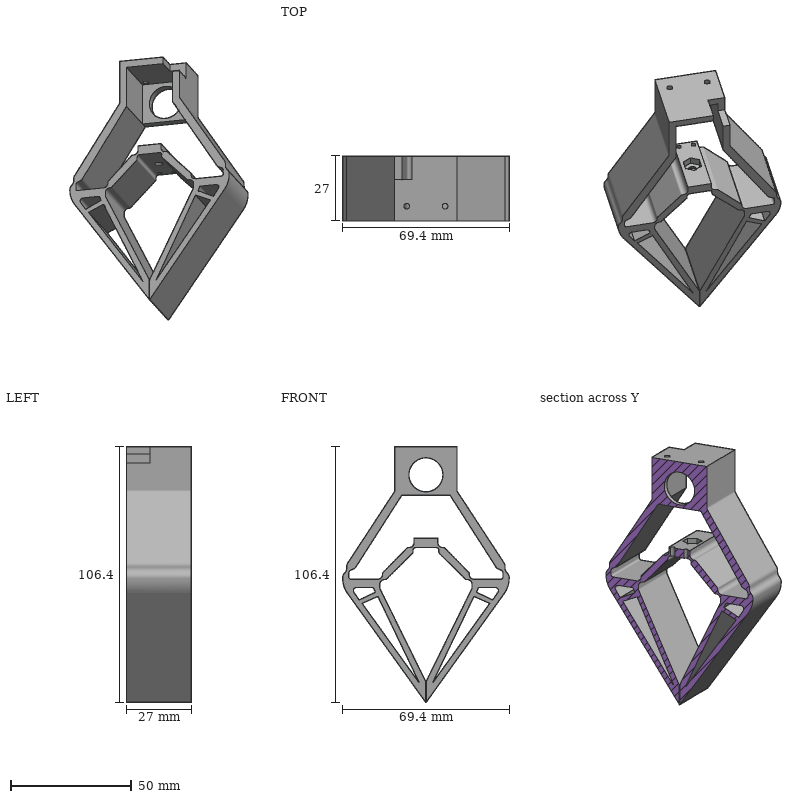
import cadquery as cq
import math

DEPTH = 27.0
HEIGHT = 106.4
HALF_WIDTH = 34.7

BLOCK_HALF_WIDTH = 13.0
BLOCK_SHOULDER_Z = 87.9
BLOCK_FLOOR_Z = 86.2
POCKET_HALF_WIDTH = 10.0
BLOCK_FRONT_WALL = 4.0
BLOCK_ROOF = 3.0
BORE_RADIUS = 7.0
BORE_Z = 94.7
BLOCK_SCREW_DIAMETER = 2.3
BLOCK_SCREW_X = 8.0
BLOCK_SCREW_Y = 6.2

NOTCH_INNER_X = -5.9
NOTCH_LENGTH = 9.8
NOTCH_HEIGHT = 6.8

PAD_HALF_WIDTH = 5.0
PAD_TOP_Z = 68.3
PAD_BOTTOM_Z = 64.4
PAD_THICKNESS = PAD_TOP_Z - PAD_BOTTOM_Z
PAD_SCREW_DIAMETER = 1.8
PAD_SCREW_X = 3.1
PAD_SCREW_Y = 1.9
NUT_ACROSS_FLATS = 6.8
NUT_DEPTH = 3.0
NUT_Y = DEPTH / 2
BOLT_DIAMETER = 3.4

SLIT_WIDTH = 0.2
SLIT_TOP_Z = 8.9

OUTER_CORNERS = [
    (SLIT_WIDTH / 2, 0, 0),
    (HALF_WIDTH, 48.2, 11.0),
    (HALF_WIDTH, 53.0, 2.9),
    (33.0, 54.7, 2.9),
    (33.0, 57.4, 2.6),
    (BLOCK_HALF_WIDTH, BLOCK_SHOULDER_Z, 1.3),
    (BLOCK_HALF_WIDTH, HEIGHT, 0),
    (0, HEIGHT, 0),
    (0, SLIT_TOP_Z, 0),
    (SLIT_WIDTH / 2, SLIT_TOP_Z, 0),
]
UPPER_WINDOW_CORNERS = [
    (0, BLOCK_FLOOR_Z, 0),
    (POCKET_HALF_WIDTH, BLOCK_FLOOR_Z, 0),
    (29.5, 55.8, 1.9),
    (32.0, 54.7, 1.4),
    (32.0, 51.3, 0.9),
    (18.1, 51.3, 1.9),
    (18.1, 53.8, 0.9),
    (7.7, 64.5, 0.9),
    (PAD_HALF_WIDTH, 64.5, 1.9),
    (PAD_HALF_WIDTH, PAD_TOP_Z, 0),
    (0, PAD_TOP_Z, 0),
]
LOWER_WINDOW_CORNERS = [
    (0, PAD_BOTTOM_Z, 0),
    (5.3, PAD_BOTTOM_Z, 1.1),
    (5.3, 62.3, 0.9),
    (16.6, 51.1, 0.9),
    (19.2, 51.1, 1.9),
    (19.2, 47.5, 1.1),
    (0, 8.6, 0),
]
JAW_UPPER_OPENING_CORNERS = [
    (21.1, 45.9, 0),
    (21.9, 47.8, 0.4),
    (31.3, 47.8, 1.3),
    (27.8, 42.7, 0),
]
JAW_LOWER_OPENING_CORNERS = [
    (20.0, 44.1, 0),
    (26.5, 41.2, 0),
    (2.9, 8.3, 0),
]


def rounded_outline(corners):
    """Closed XZ outline through the corners, each turned into a tangent arc of its radius.

    The first corner must be sharp (radius 0).
    """
    pieces = []
    for index, (x, z, radius) in enumerate(corners):
        corner = cq.Vector(x, z)
        if radius == 0:
            pieces.append((corner, None, corner))
            continue
        previous_x, previous_z, _ = corners[index - 1]
        next_x, next_z, _ = corners[(index + 1) % len(corners)]
        to_previous = (cq.Vector(previous_x, previous_z) - corner).normalized()
        to_next = (cq.Vector(next_x, next_z) - corner).normalized()
        half_angle = to_previous.getAngle(to_next) / 2
        tangent_length = radius / math.tan(half_angle)
        middle_distance = radius / math.sin(half_angle) - radius
        middle = corner + (to_previous + to_next).normalized() * middle_distance
        pieces.append((corner + to_previous * tangent_length, middle, corner + to_next * tangent_length))

    outline = cq.Workplane("XZ").moveTo(*pieces[0][2].toTuple()[:2])
    for start, middle, end in pieces[1:]:
        outline = outline.lineTo(start.x, start.y)
        if middle is not None:
            outline = outline.threePointArc((middle.x, middle.y), (end.x, end.y))
    return outline.close()


def prism(corners):
    """The rounded outline extruded from the front face (Y = 0) to the rear face."""
    return rounded_outline(corners).extrude(-DEPTH)


def box(x_range, y_range, z_range):
    """Axis-aligned box between the given limits."""
    lows, highs = zip(x_range, y_range, z_range)
    sizes = [high - low for low, high in zip(lows, highs)]
    return cq.Workplane("XY").box(*sizes, centered=False).translate(lows)


def vertical_holes(points, diameter, top_z, depth):
    """Holes drilled down from top_z at the given XY points."""
    return cq.Workplane("XY").workplane(offset=top_z).pushPoints(points).circle(diameter / 2).extrude(-depth)


half_frame = prism(OUTER_CORNERS)
for opening in (
    UPPER_WINDOW_CORNERS,
    LOWER_WINDOW_CORNERS,
    JAW_UPPER_OPENING_CORNERS,
    JAW_LOWER_OPENING_CORNERS,
):
    half_frame = half_frame.cut(prism(opening))
frame = half_frame.union(half_frame.mirror("YZ")).clean()

frame = frame.cut(
    box(
        (-POCKET_HALF_WIDTH, POCKET_HALF_WIDTH),
        (BLOCK_FRONT_WALL, DEPTH),
        (BLOCK_FLOOR_Z, HEIGHT - BLOCK_ROOF),
    )
)
bore = cq.Workplane("XZ").center(0, BORE_Z).circle(BORE_RADIUS).extrude(-BLOCK_FRONT_WALL)
frame = frame.cut(bore)
frame = frame.cut(
    box(
        (-BLOCK_HALF_WIDTH, NOTCH_INNER_X),
        (DEPTH - NOTCH_LENGTH, DEPTH),
        (HEIGHT - NOTCH_HEIGHT, HEIGHT),
    )
)
block_screws = [(side * BLOCK_SCREW_X, BLOCK_SCREW_Y) for side in (-1, 1)]
frame = frame.cut(vertical_holes(block_screws, BLOCK_SCREW_DIAMETER, HEIGHT, BLOCK_ROOF))

pad_screws = [(side * PAD_SCREW_X, PAD_SCREW_Y) for side in (-1, 1)]
frame = frame.cut(vertical_holes(pad_screws, PAD_SCREW_DIAMETER, PAD_TOP_Z, PAD_THICKNESS))
frame = frame.cut(vertical_holes([(0, NUT_Y)], BOLT_DIAMETER, PAD_TOP_Z, PAD_THICKNESS))
nut_across_corners = NUT_ACROSS_FLATS / math.cos(math.pi / 6)
nut_recess = (
    cq.Workplane("XY")
    .polygon(6, nut_across_corners)
    .extrude(-NUT_DEPTH)
    .rotate((0, 0, 0), (0, 0, 1), 30)
    .translate((0, NUT_Y, PAD_TOP_Z))
)

result = frame.cut(nut_recess)